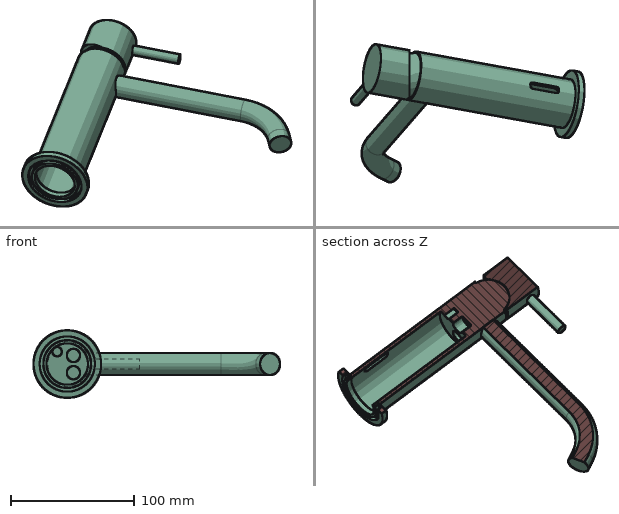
import cadquery as cq
import math


flange_radius = 27.48
flange_height = 5.0
groove_outer_radius = 22.4
groove_inner_radius = 19.4
groove_depth = 3.5

column_radius = 20.0
column_top = 139.3
bore_radius = 16.8
bore_floor = 100.0
neck_radius = 18.8
neck_center_y = 137.5

passage_depth = 10.0
hose_radius = 5.4
hose_x = 5.0
hose_z = 7.0
stud_radius = 3.8
stud_x = -8.2
stud_z = 10.0

slot_length = 25.2
slot_width = 5.8
slot_center = 31.8

handle_bottom = 141.5
handle_top = 174.5
slant_rise = 8.0
lever_radius = 4.0
lever_y = 165.5
lever_end = 58.5

spout_radius = 9.0
spout_y = 121.3
bend_start = 124.7
bend_radius = 40.0
bend_angle = 64.5
outlet_length = 8.2


def cylinder_y(radius, start, end, x=0.0, z=0.0):
    """Cylinder along Y between two Y positions."""
    return cq.Workplane(cq.Solid.makeCylinder(radius, end - start, cq.Vector(x, start, z), cq.Vector(0, 1, 0)))


def cylinder_x(radius, end, y):
    """Cylinder along X from the column axis to an X position."""
    return cq.Workplane(cq.Solid.makeCylinder(radius, end, cq.Vector(0, y, 0), cq.Vector(1, 0, 0)))


def make_flange():
    """Bored disc with a ring groove in its mounting face."""
    groove = cylinder_y(groove_outer_radius, 0, groove_depth).cut(
        cylinder_y(groove_inner_radius, 0, groove_depth)
    )
    disc = cylinder_y(flange_radius, 0, flange_height)
    return disc.cut(cylinder_y(bore_radius, 0, flange_height)).cut(groove)


def make_neck():
    """Ball-shaped dome that rises from the column into the handle."""
    ball = cq.Workplane("XY").sphere(neck_radius).translate((0, neck_center_y, 0))
    return ball.intersect(cylinder_y(column_radius, column_top, handle_top))


def make_column():
    """Bored column with neck, floor passages and a slot on the -X side."""
    column = cylinder_y(column_radius, flange_height, column_top).union(make_neck())
    column = column.cut(cylinder_y(bore_radius, flange_height, bore_floor))
    passages = [
        (hose_radius, hose_x, hose_z),
        (hose_radius, hose_x, -hose_z),
        (stud_radius, stud_x, stud_z),
    ]
    for radius, x, z in passages:
        column = column.cut(cylinder_y(radius, bore_floor, bore_floor + passage_depth, x, z))
    slot = (
        cq.Workplane("YZ", origin=(-column_radius, 0, 0))
        .center(slot_center, 0)
        .slot2D(slot_length, slot_width)
        .extrude(column_radius)
    )
    return column.cut(slot)


def make_handle():
    """Cap over the neck, with its lower edge slanted on the -X half."""
    slant = (
        cq.Workplane("XY")
        .moveTo(0, handle_bottom)
        .lineTo(-column_radius, handle_bottom + slant_rise)
        .lineTo(-column_radius, handle_bottom)
        .close()
        .extrude(column_radius, both=True)
    )
    return cylinder_y(column_radius, handle_bottom, handle_top).cut(slant).cut(make_neck())


def make_lever():
    """Round rod seated against the handle wall."""
    return cylinder_x(lever_radius, lever_end, lever_y).cut(
        cylinder_y(column_radius, handle_bottom, handle_top)
    )


def make_spout():
    """Round bar that leaves the column along +X and bends down toward -Y."""
    turn = math.radians(bend_angle)
    bend_center_y = spout_y - bend_radius

    def bend_point(angle):
        return (bend_start + bend_radius * math.sin(angle), bend_center_y + bend_radius * math.cos(angle))

    bend_end = bend_point(turn)
    outlet = (
        bend_end[0] + outlet_length * math.cos(turn),
        bend_end[1] - outlet_length * math.sin(turn),
    )
    path = (
        cq.Workplane("XY")
        .moveTo(0, spout_y)
        .lineTo(bend_start, spout_y)
        .threePointArc(bend_point(turn / 2), bend_end)
        .lineTo(*outlet)
    )
    bar = cq.Workplane("YZ").center(spout_y, 0).circle(spout_radius).sweep(path)
    return bar.cut(cylinder_y(column_radius, flange_height, column_top))


flange = make_flange()
column = make_column()
handle = make_handle()
lever = make_lever()
spout = make_spout()

result = cq.Compound.makeCompound([flange.val(), column.val(), handle.val(), lever.val(), spout.val()])